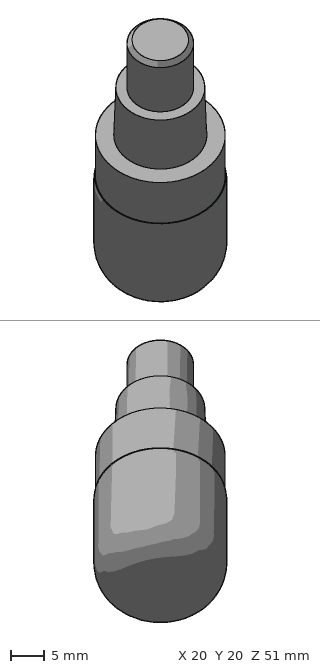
import cadquery as cq


cap_radius = 10.0
cap_height = 21.0
bottom_fillet = 6.3
lip_chamfer_width = 0.13
lip_chamfer_height = 0.95

total_height = 51.0
collar_radius = 9.75
collar_top = 30.0
taper_base_radius = 7.0
taper_top_radius = 6.7
taper_top = 40.5
pin_radius = 5.0
pin_chamfer_width = 0.75
pin_chamfer_height = 0.7


def make_cap():
    """Solid round-bottomed cap with a slightly bevelled upper rim."""
    cap = cq.Workplane("XY").circle(cap_radius).extrude(cap_height)
    cap = cap.faces("<Z").edges().fillet(bottom_fillet)
    lip_radius = cap_radius - lip_chamfer_width
    lip_start = cap_height - lip_chamfer_height
    bevel_cutter = (
        cq.Workplane("XZ")
        .moveTo(cap_radius, lip_start)
        .lineTo(cap_radius, cap_height)
        .lineTo(lip_radius, cap_height)
        .close()
        .revolve(360, (0, 0, 0), (0, 1, 0))
    )
    return cap.cut(bevel_cutter)


def make_plug():
    """Collar, tapered shoulder and chamfered pin, turned as one profile."""
    return (
        cq.Workplane("XZ")
        .moveTo(0, cap_height)
        .lineTo(collar_radius, cap_height)
        .lineTo(collar_radius, collar_top)
        .lineTo(taper_base_radius, collar_top)
        .lineTo(taper_top_radius, taper_top)
        .lineTo(pin_radius, taper_top)
        .lineTo(pin_radius, total_height - pin_chamfer_height)
        .lineTo(pin_radius - pin_chamfer_width, total_height)
        .lineTo(0, total_height)
        .close()
        .revolve(360, (0, 0, 0), (0, 1, 0))
    )


cap = make_cap()
plug = make_plug()

result = cq.Compound.makeCompound([cap.val(), plug.val()])